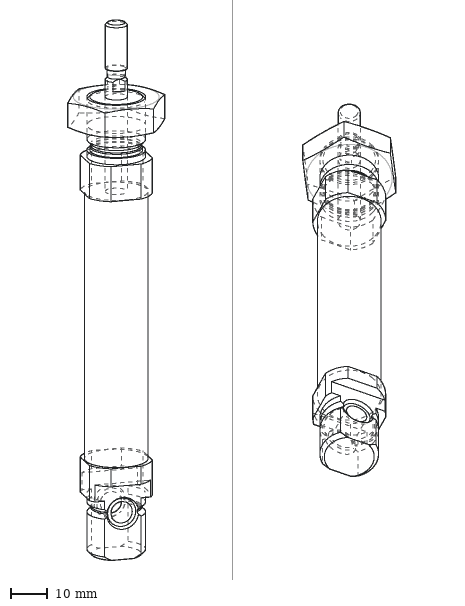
import cadquery as cq
import math

TOTAL_HEIGHT = 151.0
CAP_LENGTH = 10.0
FRONT_CAP_BOTTOM = 103.0
FRONT_CAP_TOP = FRONT_CAP_BOTTOM + CAP_LENGTH
REAR_CAP_BOTTOM = 17.0
REAR_CAP_TOP = REAR_CAP_BOTTOM + CAP_LENGTH

TUBE_RADIUS = 17.4 / 2
CAP_WIDTH = 18.0
CAP_CORNER_RADIUS = 20.0 / 2

NECK_RADIUS = 16.0 / 2
GROOVE_RADIUS = 13.7 / 2
GROOVE_FLANK = NECK_RADIUS - GROOVE_RADIUS
FRONT_GROOVE_BOTTOM = 114.8
FRONT_GROOVE_TOP = 117.8
REAR_GROOVE_BOTTOM = 12.0
REAR_GROOVE_TOP = 14.6
GROOVE_STEP_RADIUS = 14.3 / 2
GROOVE_STEP_HEIGHT = 0.9
NECK_TOP_RADIUS = 14.3 / 2
NECK_TOP_CHAMFER = NECK_RADIUS - NECK_TOP_RADIUS
NECK_END_CHAMFER = 1.2

TONGUE_THICKNESS = 12.1
TONGUE_TOP = 21.9
PIVOT_HEIGHT = 13.1
PIVOT_DIAMETER = 6.0
PIVOT_RECESS_DIAMETER = 8.0
PIVOT_MOUTH_DIAMETER = 9.0
PIVOT_RECESS_DEPTH = 1.0

NUT_ACROSS_FLATS = 24.0
NUT_HEIGHT = 8.0
NUT_TOP = 129.9
NUT_BOTTOM = NUT_TOP - NUT_HEIGHT
NUT_FACE_RADIUS = 23.4 / 2
NUT_CHAMFER_ANGLE = 15.0

ROD_RADIUS = 6.0 / 2
ROD_BOTTOM = FRONT_CAP_BOTTOM
ROD_END_RADIUS = 4.8 / 2
ROD_GROOVE_RADIUS = ROD_END_RADIUS
ROD_CHAMFER = ROD_RADIUS - ROD_END_RADIUS
ROD_NECK_RADIUS = 5.1 / 2
ROD_SHOULDER = 134.8
ROD_GROOVE_BOTTOM = 135.6
ROD_GROOVE_TOP = 136.7
ROD_THREAD_BOTTOM = 138.0
ROD_ACROSS_FLATS = 5.0
ROD_FLAT_BOTTOM = 132.1


def turned(points):
    """Solid of revolution about Z from (radius, height) points."""
    return cq.Workplane("XZ").polyline(points).close().revolve(360, (0, 0, 0), (0, 1, 0))


def cylinder(radius, bottom, top):
    return cq.Workplane("XY").workplane(offset=bottom).circle(radius).extrude(top - bottom)


def front_groove():
    """Ring removed from the front neck: a low step, then a groove with sloping flanks."""
    step_top = FRONT_GROOVE_BOTTOM + GROOVE_STEP_HEIGHT
    return turned([
        (NECK_RADIUS, FRONT_GROOVE_BOTTOM),
        (GROOVE_STEP_RADIUS, FRONT_GROOVE_BOTTOM),
        (GROOVE_STEP_RADIUS, step_top),
        (GROOVE_RADIUS, step_top + GROOVE_STEP_RADIUS - GROOVE_RADIUS),
        (GROOVE_RADIUS, FRONT_GROOVE_TOP - GROOVE_FLANK),
        (NECK_RADIUS, FRONT_GROOVE_TOP),
    ])


def rear_groove():
    """Ring with sloping flanks that is removed from the rear neck."""
    return turned([
        (NECK_RADIUS, REAR_GROOVE_BOTTOM),
        (GROOVE_RADIUS, REAR_GROOVE_BOTTOM + GROOVE_FLANK),
        (GROOVE_RADIUS, REAR_GROOVE_TOP - GROOVE_FLANK),
        (NECK_RADIUS, REAR_GROOVE_TOP),
    ])


def end_cap(bottom):
    """Square cap whose corners are rounded about the cylinder axis."""
    square = cq.Workplane("XY").workplane(offset=bottom).rect(CAP_WIDTH, CAP_WIDTH).extrude(CAP_LENGTH)
    return square.intersect(cylinder(CAP_CORNER_RADIUS, bottom, bottom + CAP_LENGTH))


def side_cuts(across, bottom, top, reach):
    """Two blocks that leave a pair of flats, the given distance apart along X."""
    depth = reach - across / 2
    return (
        cq.Workplane("XY")
        .workplane(offset=bottom)
        .pushPoints([(-(across / 2 + depth / 2), 0), (across / 2 + depth / 2, 0)])
        .rect(depth, 2 * reach)
        .extrude(top - bottom)
    )


def pivot_hole():
    """Cross hole along X with a flat-bottomed, tapered recess at both mouths."""
    half = TONGUE_THICKNESS / 2
    radius = PIVOT_DIAMETER / 2
    mouth_radius = PIVOT_MOUTH_DIAMETER / 2
    recess_radius = PIVOT_RECESS_DIAMETER / 2
    recess_floor = half - PIVOT_RECESS_DEPTH
    profile = [
        (-half, 0),
        (-half, mouth_radius),
        (-recess_floor, recess_radius),
        (-recess_floor, radius),
        (recess_floor, radius),
        (recess_floor, recess_radius),
        (half, mouth_radius),
        (half, 0),
    ]
    hole = cq.Workplane("XZ").polyline(profile).close().revolve(360, (0, 0, 0), (1, 0, 0))
    return hole.translate((0, 0, PIVOT_HEIGHT))


def make_housing():
    front_neck = cylinder(NECK_RADIUS, FRONT_CAP_TOP, NUT_TOP).faces(">Z").chamfer(NECK_TOP_CHAMFER)
    rear_neck = cylinder(NECK_RADIUS, 0, REAR_CAP_BOTTOM).faces("<Z").chamfer(NECK_END_CHAMFER)
    housing = (
        cylinder(TUBE_RADIUS, REAR_CAP_TOP, FRONT_CAP_BOTTOM)
        .union(end_cap(FRONT_CAP_BOTTOM))
        .union(end_cap(REAR_CAP_BOTTOM))
        .union(front_neck.cut(front_groove()))
        .union(rear_neck.cut(rear_groove()))
    )
    rod_bore = cylinder(ROD_RADIUS, ROD_BOTTOM, NUT_TOP)
    tongue_cuts = side_cuts(TONGUE_THICKNESS, 0, TONGUE_TOP, CAP_WIDTH)
    return housing.cut(tongue_cuts).cut(pivot_hole()).cut(rod_bore)


def make_nut():
    corner_radius = NUT_ACROSS_FLATS / 2 / math.cos(math.radians(30))
    hexagon = (
        cq.Workplane("XY")
        .workplane(offset=NUT_BOTTOM)
        .transformed(rotate=(0, 0, 90))
        .polygon(6, 2 * corner_radius)
        .circle(NECK_RADIUS)
        .extrude(NUT_HEIGHT)
    )
    drop = (corner_radius - NUT_FACE_RADIUS) * math.tan(math.radians(NUT_CHAMFER_ANGLE))
    corner_envelope = turned([
        (0, NUT_BOTTOM),
        (NUT_FACE_RADIUS, NUT_BOTTOM),
        (corner_radius, NUT_BOTTOM + drop),
        (corner_radius, NUT_TOP - drop),
        (NUT_FACE_RADIUS, NUT_TOP),
        (0, NUT_TOP),
    ])
    return hexagon.intersect(corner_envelope)


def make_rod():
    rod = turned([
        (0, ROD_BOTTOM),
        (ROD_RADIUS, ROD_BOTTOM),
        (ROD_RADIUS, ROD_SHOULDER),
        (ROD_GROOVE_RADIUS, ROD_GROOVE_BOTTOM),
        (ROD_NECK_RADIUS, ROD_GROOVE_TOP),
        (ROD_NECK_RADIUS, ROD_THREAD_BOTTOM),
        (ROD_RADIUS, ROD_THREAD_BOTTOM),
        (ROD_RADIUS, TOTAL_HEIGHT - ROD_CHAMFER),
        (ROD_END_RADIUS, TOTAL_HEIGHT),
        (0, TOTAL_HEIGHT),
    ])
    return rod.cut(side_cuts(ROD_ACROSS_FLATS, ROD_FLAT_BOTTOM, ROD_GROOVE_BOTTOM, 2 * ROD_RADIUS))


housing = make_housing()
nut = make_nut()
rod = make_rod()

result = cq.Compound.makeCompound([housing.val(), nut.val(), rod.val()])